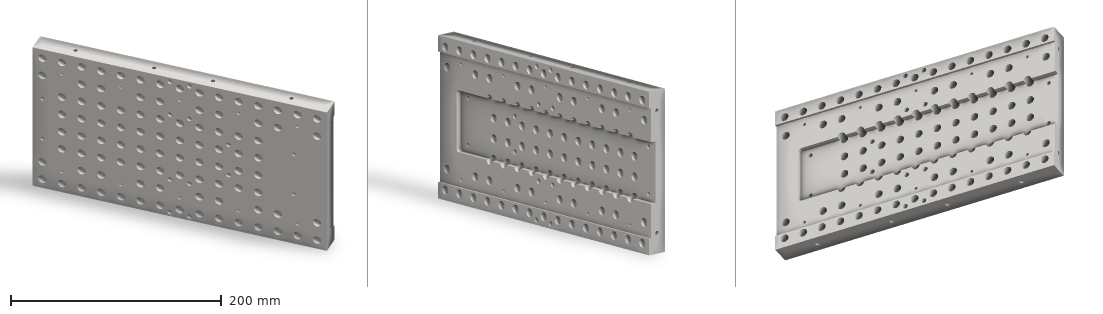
import cadquery as cq
import math

length = 300.0
columns = 15
rows = 8
pitch = length / columns
thickness = pitch
height = rows * pitch
back_y = thickness / 2

channel_height = 127.8
channel_depth = 2.5

pocket_height = 60.5
pocket_depth = 5.7
pocket_corner_radius = 3.0
pocket_end_margin = pitch / 2

grid_diameter = 8.5
dowel_diameter = 5.0
screw_diameter = 4.2
pin_diameter = 3.3

pin_columns = range(1, columns, 3)
inner_columns = range(1, 12)
pin_z = 56.5
screw_x = (-7 * pitch, 116.5)
screw_z = 23.0
dowel_x = pitch / 2
dowel_z = (37.5, 75.3)
side_dowel_x = 2.5 * pitch
side_dowel_z = 17.5

edge_hole_depth = 12.0
drill_point_angle = 118.0
top_hole_x = (1.5 * pitch, 5.5 * pitch)
end_hole_z = 3 * pitch


def mirrored(values):
    """Each value with both signs."""
    return [sign * value for value in values for sign in (-1, 1)]


def grid(xs, zs):
    """Every pairing of the given X and Z places."""
    return [(x, z) for x in xs for z in zs]


def column_x(column):
    """X place of a grid column."""
    return (column - (columns - 1) / 2) * pitch


def grid_points():
    """Centres of the large holes; some grid places are left undrilled."""
    points = []
    for row in range(rows):
        rows_from_edge = min(row, rows - 1 - row)
        if rows_from_edge == 0:
            drilled = range(columns)
        elif rows_from_edge == 1:
            drilled = [column for column in range(columns) if column not in pin_columns]
        else:
            drilled = inner_columns
        z = (row - (rows - 1) / 2) * pitch
        points += [(column_x(column), z) for column in drilled]
    return points


def through_holes(points, diameter):
    """Cylinders through the plate thickness."""
    return (
        cq.Workplane("XZ", origin=(0, back_y, 0))
        .pushPoints(points)
        .circle(diameter / 2)
        .extrude(thickness)
    )


def back_channel():
    """Full-length channel cut from the back face."""
    return cq.Workplane("XY").box(length, channel_depth, channel_height).translate(
        (0, back_y - channel_depth / 2, 0)
    )


def back_pocket():
    """Pocket with rounded corners at its closed +X end."""
    pocket_length = length / 2 + screw_x[1] + pocket_end_margin
    return (
        cq.Workplane("XY")
        .box(pocket_length, pocket_depth, pocket_height)
        .edges("|Y and >X")
        .fillet(pocket_corner_radius)
        .translate(((pocket_length - length) / 2, back_y - channel_depth - pocket_depth / 2, 0))
    )


def edge_hole(start, direction):
    """Blind drilled hole starting on an outer face and running along direction."""
    radius = screw_diameter / 2
    point_depth = radius / math.tan(math.radians(drill_point_angle / 2))
    start = cq.Vector(*start)
    direction = cq.Vector(*direction)
    bore = cq.Solid.makeCylinder(radius, edge_hole_depth, start, direction)
    point = cq.Solid.makeCone(radius, 0, point_depth, start + direction * edge_hole_depth, direction)
    return bore.fuse(point)


plate = cq.Workplane("XY").box(length, thickness, height)
plate = plate.cut(back_channel()).cut(back_pocket())

pin_points = grid([column_x(column) for column in pin_columns], mirrored([pin_z]))
screw_points = grid(screw_x, mirrored([screw_z]))
dowel_points = grid(mirrored([dowel_x]), mirrored(dowel_z)) + grid([side_dowel_x], mirrored([side_dowel_z]))

plate = plate.cut(through_holes(grid_points(), grid_diameter))
plate = plate.cut(through_holes(pin_points, pin_diameter))
plate = plate.cut(through_holes(screw_points, screw_diameter))
plate = plate.cut(through_holes(dowel_points, dowel_diameter))

for x in mirrored(top_hole_x):
    for side in (-1, 1):
        plate = plate.cut(edge_hole((x, 0, side * height / 2), (0, 0, -side)))

for z in mirrored([end_hole_z]):
    for side in (-1, 1):
        plate = plate.cut(edge_hole((side * length / 2, 0, z), (-side, 0, 0)))

result = plate